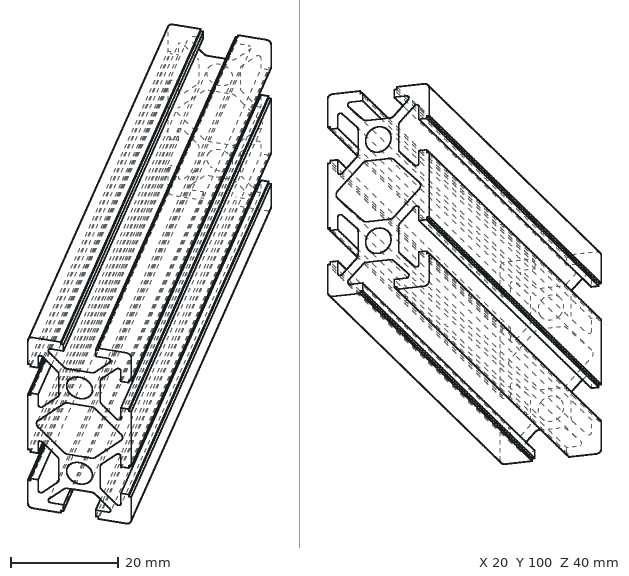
import cadquery as cq
import math

module = 20.0
cell_count = 2
length = 100.0
bore_diameter = 5.0
core_side = 8.0
web_thickness = 1.8
lip_thickness = 2.0
slot_mouth = 6.2
step_size = 0.5
outer_radius = 1.0
floor_radius = 1.0
slot_end_radius = 0.5
cavity_end_radius = 1.0

half_cell = module / 2
half_core = core_side / 2
half_length = length / 2
height = module * cell_count
web_offset = web_thickness / math.sqrt(2)
half_floor = half_core - web_offset
bore_heights = [(i - (cell_count - 1) / 2) * module for i in range(cell_count)]


def extrude_outline(points):
    """Extrude a closed XZ outline over the full length, centred on Y."""
    return cq.Workplane("XZ").polyline(points).close().extrude(half_length, both=True)


def turn_about_y(body, angle):
    return body.rotate((0, 0, 0), (0, 1, 0), angle)


def make_slot():
    """Stepped T-slot of a cell centred on the origin, opening toward +Z."""
    step_floor = half_cell - step_size
    lip_inside = half_cell - lip_thickness
    half_pocket = lip_inside - web_offset

    pocket = extrude_outline([
        (-half_floor, half_core),
        (half_floor, half_core),
        (half_pocket, lip_inside),
        (-half_pocket, lip_inside),
    ])
    pocket = pocket.faces("<Z").edges("|Y").fillet(floor_radius)
    pocket = pocket.faces(">Z").edges("|Y").fillet(slot_end_radius)

    passage = cq.Workplane("XY").box(slot_mouth, length, lip_thickness)
    passage = passage.translate((0, 0, lip_inside + lip_thickness / 2))
    steps = cq.Workplane("XY").box(slot_mouth + 2 * step_size, length, step_size)
    steps = steps.translate((0, 0, step_floor + step_size / 2))
    return pocket.union(passage).union(steps)


def make_cavity():
    """Rounded hexagonal cavity between two neighbouring cells, centred on the origin."""
    half_height = half_cell - half_core
    half_width = half_height + half_floor
    cavity = extrude_outline([
        (half_floor, half_height),
        (half_width, 0),
        (half_floor, -half_height),
        (-half_floor, -half_height),
        (-half_width, 0),
        (-half_floor, half_height),
    ])
    cavity = cavity.edges("|Y and (<X or >X)").fillet(cavity_end_radius)
    return cavity.faces("<Z or >Z").edges("|Y").fillet(floor_radius)


def make_bore():
    return cq.Workplane("XZ").circle(bore_diameter / 2).extrude(half_length, both=True)


result = cq.Workplane("XY").box(module, length, height).edges("|Y").fillet(outer_radius)

slot = make_slot()
bore = make_bore()
for bore_height in bore_heights:
    result = result.cut(bore.translate((0, 0, bore_height)))
    for side_angle in (90, -90):
        result = result.cut(turn_about_y(slot, side_angle).translate((0, 0, bore_height)))

result = result.cut(slot.translate((0, 0, bore_heights[-1])))
result = result.cut(turn_about_y(slot, 180).translate((0, 0, bore_heights[0])))

cavity = make_cavity()
for bore_height in bore_heights[:-1]:
    result = result.cut(cavity.translate((0, 0, bore_height + half_cell)))